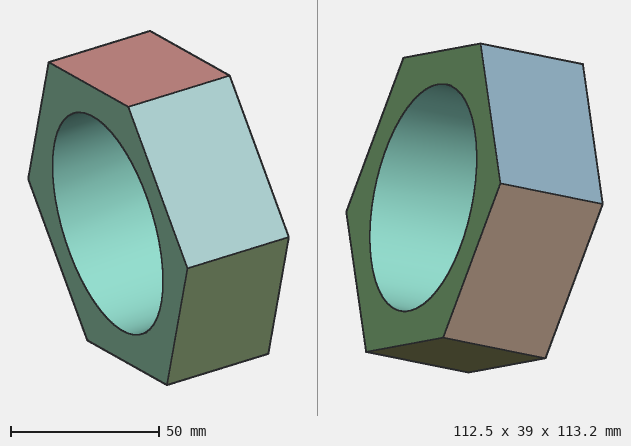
import cadquery as cq

side_count = 6
corner_diameter = 116.86
thickness = 38.95
bore_diameter = 78.0
corner_angle = 15.635


def hexagonal_ring():
    """Hexagonal prism with a plain through bore, built with its axis on Z."""
    return (
        cq.Workplane("XY")
        .polygon(side_count, corner_diameter)
        .circle(bore_diameter / 2)
        .extrude(thickness / 2, both=True)
    )


result = (
    hexagonal_ring()
    .rotate((0, 0, 0), (1, 0, 0), 90)
    .rotate((0, 0, 0), (0, 1, 0), -corner_angle)
)